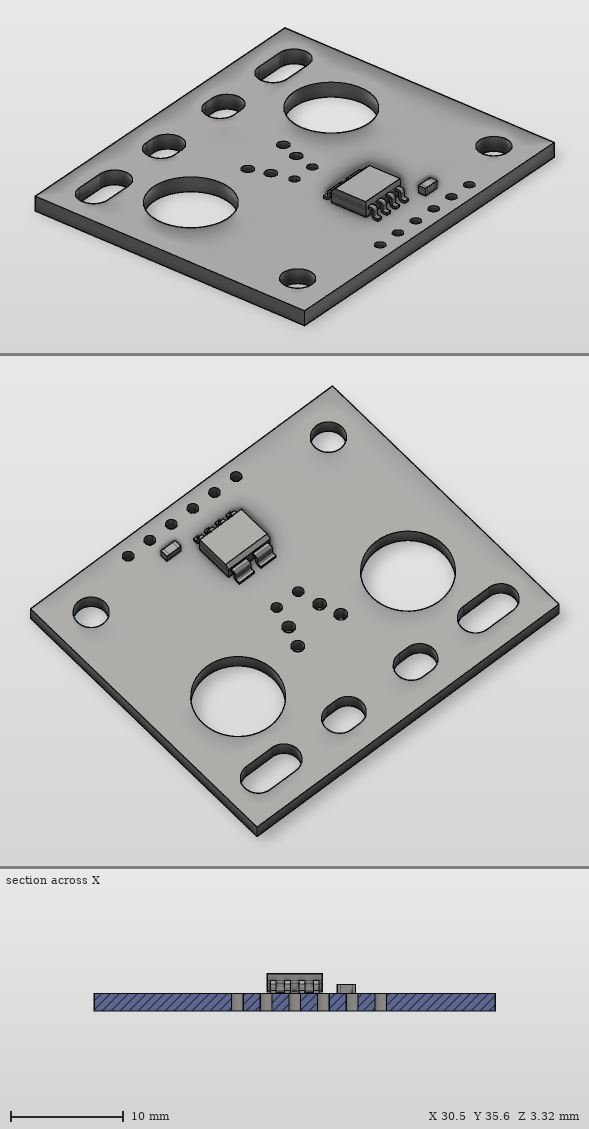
import cadquery as cq

BOARD_X = 30.48
BOARD_Y = 35.56
BOARD_THICKNESS = 1.57
GRID = 2.54

MOUNT_HOLE_DIAMETER = 3.2
MOUNT_HOLE_X = 4.5 * GRID
MOUNT_HOLE_Y = 5.5 * GRID
LARGE_HOLE_DIAMETER = 8.4
LARGE_HOLE_X = -1.5 * GRID
LARGE_HOLE_Y = 10.0
HEADER_HOLE_DIAMETER = 1.016
HEADER_X = 13.7
HEADER_COUNT = 6
HEADER_FIRST_Y = -2 * GRID
WIRE_HOLE_PAIRS = [
    (-3.3, GRID, 1.2),
    (-1.26, 1.82, 1.2),
    (0.98, GRID / 2, 1.0),
]

SLOT_X = -4.5 * GRID
SLOT_WIDTH = 3.2
SLOT_PAIRS = [(12.78, 6.2), (4.22, 4.2)]

CHIP_X = 8.065
CHIP_STANDOFF = 0.12
CHIP_BASE_TOP = 0.28
CHIP_TOP = 1.75
CHIP_WIDTH = 3.94
CHIP_LENGTH = 4.9
CHIP_DRAFT = 0.06
CHIP_BEVEL_X = 0.42
CHIP_BEVEL_Z = 0.35

LEAD_THICKNESS = 0.25
LEAD_EXIT_HEIGHT = 1.025
LEAD_SPAN = 6.15
LEAD_SHANK_SPAN = 5.26
LEAD_SHOULDER_RADIUS = 0.36
LEAD_HEEL_RADIUS = 0.15
PIN_PITCH = 1.27
PIN_WIDTH = 0.51
PINS_PER_SIDE = 4

CAP_X = 4.5 * GRID
CAP_Y = 4.57
CAP_LENGTH = 1.65
CAP_WIDTH = 0.8
CAP_HEIGHT = 0.8
CAP_TERMINAL = 0.3

BAND_BOTTOM = LEAD_EXIT_HEIGHT - LEAD_THICKNESS / 2
BAND_TOP = LEAD_EXIT_HEIGHT + LEAD_THICKNESS / 2


def make_board():
    board = cq.Workplane("XY").box(BOARD_X, BOARD_Y, BOARD_THICKNESS, centered=(True, True, False))
    mount_points = [(MOUNT_HOLE_X, side * MOUNT_HOLE_Y) for side in (-1, 1)]
    large_points = [(LARGE_HOLE_X, side * LARGE_HOLE_Y) for side in (-1, 1)]
    header_points = [(HEADER_X, HEADER_FIRST_Y + i * GRID) for i in range(HEADER_COUNT)]
    board = drill(board, mount_points, MOUNT_HOLE_DIAMETER)
    board = drill(board, large_points, LARGE_HOLE_DIAMETER)
    board = drill(board, header_points, HEADER_HOLE_DIAMETER)
    for x, y, diameter in WIRE_HOLE_PAIRS:
        board = drill(board, [(x, -y), (x, y)], diameter)
    for y, length in SLOT_PAIRS:
        slots = cq.Workplane("XY").pushPoints([(SLOT_X, -y), (SLOT_X, y)])
        board = board.cut(slots.slot2D(length, SLOT_WIDTH, 90).extrude(BOARD_THICKNESS))
    return board


def drill(board, points, diameter):
    holes = cq.Workplane("XY").pushPoints(points).circle(diameter / 2)
    return board.cut(holes.extrude(BOARD_THICKNESS))


def make_chip_layer(bottom, top):
    layer = cq.Workplane("XY").box(CHIP_WIDTH, CHIP_LENGTH, top - bottom, centered=(True, True, False))
    return layer.translate((0, 0, bottom))


def make_chip_cap():
    """Upper half of the body, bevelled along -X and drafted at +X."""
    half = CHIP_WIDTH / 2
    profile = [
        (-half, BAND_TOP),
        (half, BAND_TOP),
        (half - CHIP_DRAFT, CHIP_TOP),
        (-half + CHIP_BEVEL_X, CHIP_TOP),
        (-half, CHIP_TOP - CHIP_BEVEL_Z),
    ]
    return cq.Workplane("XZ").polyline(profile).close().extrude(CHIP_LENGTH / 2, both=True)


def make_chip_body():
    """Moulded body in flush layers; the seams between them stay as edges."""
    body = make_chip_layer(CHIP_STANDOFF, CHIP_BASE_TOP)
    body = body.union(make_chip_layer(CHIP_BASE_TOP, BAND_BOTTOM), clean=False)
    body = body.union(make_chip_layer(BAND_BOTTOM, BAND_TOP), clean=False)
    return body.union(make_chip_cap(), clean=False)


def make_lead(side, y, width):
    """One lead on the side -1 (-X) or 1 (+X) of the chip, centred at y."""
    t = LEAD_THICKNESS
    toe = LEAD_SPAN / 2
    shank_out = LEAD_SHANK_SPAN / 2
    shank_in = shank_out - t
    outer_top = LEAD_SHOULDER_RADIUS
    inner_top = outer_top - t
    inner_heel = LEAD_HEEL_RADIUS
    outer_heel = inner_heel + t
    root = CHIP_WIDTH / 2 - t
    shoulder = shank_out - outer_top
    heel = shank_out + inner_heel

    def at(distance, z):
        return (side * distance, z)

    lead = (
        cq.Workplane("XZ")
        .moveTo(*at(root, BAND_TOP))
        .lineTo(*at(shoulder, BAND_TOP))
        .radiusArc(at(shank_out, BAND_TOP - outer_top), side * outer_top)
        .lineTo(*at(shank_out, outer_heel))
        .radiusArc(at(heel, t), -side * inner_heel)
        .lineTo(*at(toe, t))
        .lineTo(*at(toe, 0))
        .lineTo(*at(heel, 0))
        .radiusArc(at(shank_in, outer_heel), side * outer_heel)
        .lineTo(*at(shank_in, BAND_TOP - outer_top))
        .radiusArc(at(shoulder, BAND_BOTTOM), -side * inner_top)
        .lineTo(*at(root, BAND_BOTTOM))
        .close()
        .extrude(width / 2, both=True)
    )
    return lead.translate((0, y, 0))


def make_chip():
    """Chip with four single leads at +X and two double-width leads at -X."""
    chip = make_chip_body()
    for i in range(PINS_PER_SIDE):
        y = (i - (PINS_PER_SIDE - 1) / 2) * PIN_PITCH
        chip = chip.union(make_lead(1, y, PIN_WIDTH), clean=False)
    for y in (-PIN_PITCH, PIN_PITCH):
        chip = chip.union(make_lead(-1, y, PIN_PITCH + PIN_WIDTH), clean=False)
    return chip.translate((CHIP_X, 0, BOARD_THICKNESS))


def make_capacitor_block(length, y):
    block = cq.Workplane("XY").box(CAP_WIDTH, length, CAP_HEIGHT, centered=(True, True, False))
    return block.translate((CAP_X, CAP_Y + y, BOARD_THICKNESS))


def add_capacitor(part):
    """Capacitor body with a terminal flush at each end; the seams stay as edges."""
    middle_length = CAP_LENGTH - 2 * CAP_TERMINAL
    terminal_y = (CAP_LENGTH - CAP_TERMINAL) / 2
    part = part.union(make_capacitor_block(middle_length, 0), clean=False)
    for side in (-1, 1):
        part = part.union(make_capacitor_block(CAP_TERMINAL, side * terminal_y), clean=False)
    return part


result = add_capacitor(make_board().union(make_chip(), clean=False))